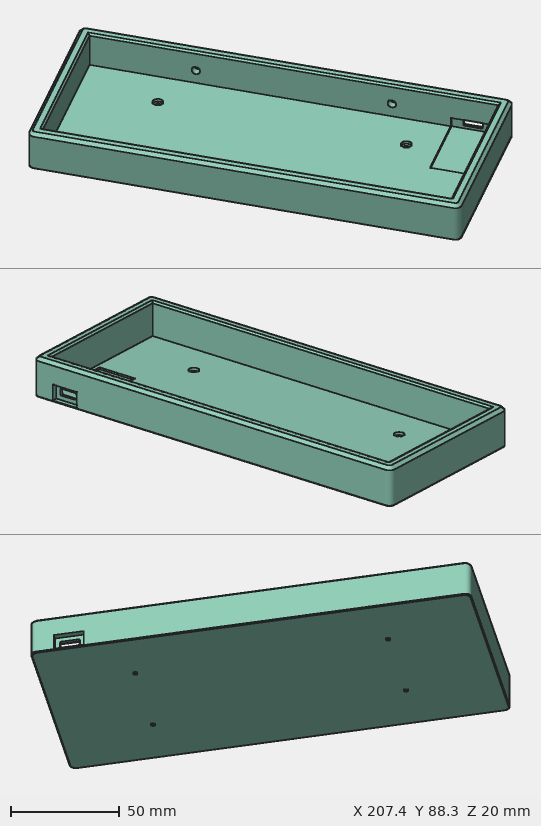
import cadquery as cq

LENGTH = 207.4
WIDTH = 88.35
HEIGHT = 20.0
CORNER_RADIUS = 3.0
TOP_CHAMFER = 1.7
BOTTOM_CHAMFER = 0.5

WALL = 5.7
FLOOR = 2.5
RIM_CHAMFER = 1.0
CAVITY_LENGTH = LENGTH - 2 * WALL
CAVITY_WIDTH = WIDTH - 2 * WALL
INNER_WALL_Y = CAVITY_WIDTH / 2

COUNTERBORE_DIAMETER = 5.0
COUNTERBORE_DEPTH = 1.5
SCREW_DIAMETER = 2.0
SCREW_SPACING_X = 119.2
SCREW_SPACING_Y = 38.75
SCREW_CENTER_Y = -0.25

POCKET_CENTER_X = 85.5
POCKET_WIDTH = 20.6
POCKET_LENGTH = 34.0
POCKET_FLOOR = 1.5
POCKET_TOP = 7.25
POCKET_WALL_DEPTH = 1.5

SLOT_WIDTH = 9.5
SLOT_HEIGHT = 3.5
CONNECTOR_Z = 4.75
SLOT_CORNER_RADIUS = 1.0
SLOT_DEPTH = 1.5

PLUG_RECESS_WIDTH = 14.0
PLUG_RECESS_HEIGHT = 8.0

WALL_HOLE_DIAMETER = 4.0
WALL_HOLE_X = (-47.0, 47.0)
WALL_HOLE_Z = 9.5
WALL_HOLE_DEPTH = 4.0


def make_body():
    body = cq.Workplane("XY").box(LENGTH, WIDTH, HEIGHT, centered=(True, True, False))
    body = body.edges("|Z").fillet(CORNER_RADIUS)
    body = body.faces(">Z").edges().chamfer(TOP_CHAMFER)
    return body.faces("<Z").edges().chamfer(BOTTOM_CHAMFER)


def make_cavity():
    depth = HEIGHT - FLOOR
    cavity = cq.Workplane("XY").box(CAVITY_LENGTH, CAVITY_WIDTH, depth, centered=(True, True, False))
    cavity = cavity.translate((0, 0, FLOOR))
    rim = (
        cq.Workplane("XY", origin=(0, 0, HEIGHT - RIM_CHAMFER))
        .rect(CAVITY_LENGTH, CAVITY_WIDTH)
        .workplane(offset=RIM_CHAMFER)
        .rect(CAVITY_LENGTH + 2 * RIM_CHAMFER, CAVITY_WIDTH + 2 * RIM_CHAMFER)
        .loft(ruled=True)
    )
    return cavity.union(rim)


def make_screw_cylinders(diameter, bottom, top):
    return (
        cq.Workplane("XY", origin=(0, SCREW_CENTER_Y, bottom))
        .rect(SCREW_SPACING_X, SCREW_SPACING_Y, forConstruction=True)
        .vertices()
        .circle(diameter / 2)
        .extrude(top - bottom)
    )


def make_pocket():
    length = POCKET_LENGTH + POCKET_WALL_DEPTH
    center_y = INNER_WALL_Y + POCKET_WALL_DEPTH - length / 2
    height = POCKET_TOP - POCKET_FLOOR
    pocket = cq.Workplane("XY").box(POCKET_WIDTH, length, height, centered=(True, True, False))
    return pocket.translate((POCKET_CENTER_X, center_y, POCKET_FLOOR))


def make_connector_opening():
    slot = cq.Workplane("XY").box(SLOT_WIDTH, WALL, SLOT_HEIGHT)
    slot = slot.edges("|Y").fillet(SLOT_CORNER_RADIUS)
    slot = slot.translate((0, INNER_WALL_Y + WALL / 2, 0))
    recess_depth = WALL - POCKET_WALL_DEPTH - SLOT_DEPTH
    recess = cq.Workplane("XY").box(PLUG_RECESS_WIDTH, recess_depth, PLUG_RECESS_HEIGHT)
    recess = recess.translate((0, (WIDTH - recess_depth) / 2, 0))
    return slot.union(recess).translate((POCKET_CENTER_X, 0, CONNECTOR_Z))


def make_wall_holes():
    return (
        cq.Workplane("XZ", origin=(0, INNER_WALL_Y, WALL_HOLE_Z))
        .pushPoints([(x, 0) for x in WALL_HOLE_X])
        .circle(WALL_HOLE_DIAMETER / 2)
        .extrude(-WALL_HOLE_DEPTH)
    )


result = make_body().cut(make_cavity())
result = result.cut(make_pocket()).cut(make_connector_opening()).cut(make_wall_holes())
result = result.cut(make_screw_cylinders(SCREW_DIAMETER, 0, FLOOR))
result = result.cut(make_screw_cylinders(COUNTERBORE_DIAMETER, FLOOR - COUNTERBORE_DEPTH, FLOOR))